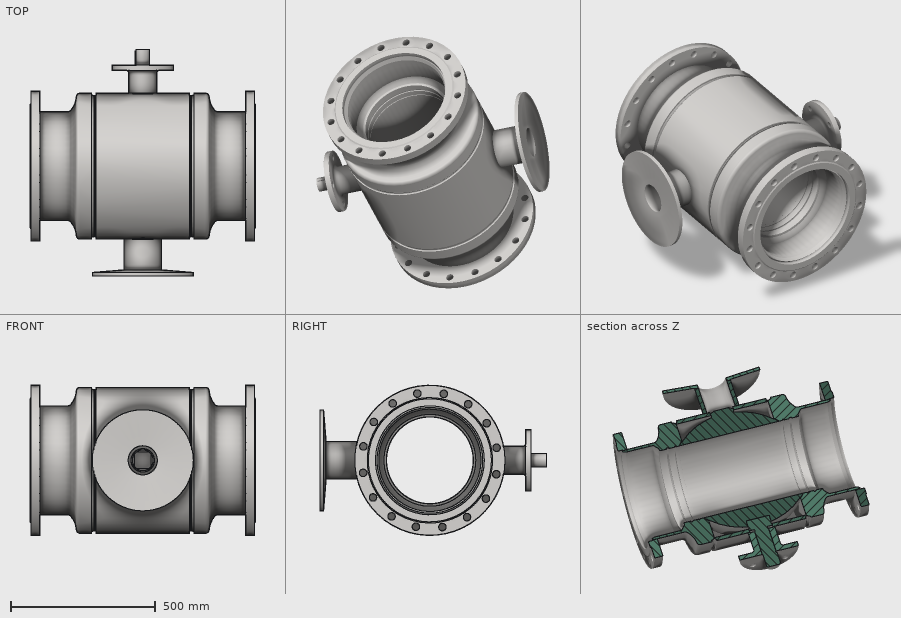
import cadquery as cq
import math

half_length = 390.0

flange_radius = 260.0
flange_thickness = 34.0
raised_face_height = 3.0
raised_face_radius = 213.0
raised_face_root_radius = 217.0
bolt_count = 16
bolt_circle_radius = 235.0
bolt_hole_radius = 13.0
bolt_turn = 0.6
bolt_start_angle = 180 / bolt_count - bolt_turn

pipe_radius = 188.5
pipe_bore_radius = 177.0
pipe_lip_radius = 183.0
pipe_lip_depth = 13.0
outer_bevel_length = 5.0
inner_bevel_length = 14.0
throat_start_x = 266.0
throat_end_x = 251.0
throat_radius = 159.0
bore_radius = 150.0
bore_grooves = ((225.0, 7.0), (196.0, 3.0))
bore_groove_depth = 4.0
pipe_bend_start_x = 260.0
pipe_bend_radius = 14.4
pipe_bend_angle = 50.0
flare_end_angle = 78.0
flare_end_x = 230.0
shoulder_radius = 14.4
cap_end_x = 177.0

groove_lip_radius = 246.5
groove_bottom_x = 169.0
groove_lip_end_radius = 244.5
groove_bottom_radius = 242.0
shell_half_length = 164.5
shell_lip_length = 3.0
shell_lip_radius = 245.0

shell_radius = 252.5
shell_bore_radius = 237.0
seat_edge_x = 179.0
ball_radius = math.hypot(bore_radius, seat_edge_x)

neck_radius = 49.0
neck_flange_radius = 106.5
neck_flange_front_y = 331.5
neck_flange_back_y = 350.0
neck_fillet = 9.0
neck_bolt_circle_radius = 82.5
neck_bolt_hole_radius = 11.0
neck_bolt_count = 4
neck_bolt_start_angle = 45.0

stem_radius = 24.0
stem_tip_y = 404.0
key_width = 8.8
key_top_x = 27.5
key_tip_gap = 5.0
key_root_gap = 3.0
stem_inner_y = 205.0
stem_collar_radius = 40.5
stem_collar_end_y = 246.0

foot_pipe_radius = 65.5
foot_bore_radius = 50.5
foot_plate_radius = 175.0
foot_plate_front_y = -380.58
foot_plate_thickness = 13.0
foot_plate_dish = 9.0

trunnion_radius = 40.5
trunnion_end_y = -246.0
tang_root_radius = 36.0
tang_root_end_y = -250.0
tang_width = 58.0
tang_end_y = -253.0


def rod(radius, y_start, y_end):
    """Cylinder on the Y axis."""
    return cq.Workplane("XZ", origin=(0, y_start, 0)).circle(radius).extrude(y_start - y_end)


def about_x(profile):
    """Close a half-section and turn it about the flow axis."""
    return profile.close().revolve(360, (0, 0, 0), (1, 0, 0))


def about_y(points):
    """Turn a straight-sided half-section about the stem axis."""
    return cq.Workplane("XY").polyline(points).close().revolve(360, (0, 0, 0), (0, 1, 0))


def make_flange():
    """Pipe flange with a raised face and a ring of bolt holes, at the -X end."""
    back = -half_length + flange_thickness
    step = -half_length + raised_face_height
    flange = about_x(
        cq.Workplane("XY")
        .moveTo(-half_length, pipe_radius)
        .lineTo(-half_length, raised_face_radius)
        .lineTo(step, raised_face_root_radius)
        .lineTo(step, flange_radius)
        .lineTo(back, flange_radius)
        .lineTo(back, pipe_radius)
    )
    holes = (
        cq.Workplane("YZ", origin=(-half_length, 0, 0))
        .polarArray(bolt_circle_radius, bolt_start_angle, 360, bolt_count)
        .circle(bolt_hole_radius)
        .extrude(flange_thickness)
    )
    return flange.cut(holes)


def make_cap():
    """Flared pipe end with a bevelled lip, a grooved bore and a spherical seat for the ball."""
    bend = math.radians(pipe_bend_angle)
    flare = math.radians(flare_end_angle)
    bend_end = (
        -pipe_bend_start_x + pipe_bend_radius * math.sin(bend),
        pipe_radius + pipe_bend_radius * (1 - math.cos(bend)),
    )
    flare_end = (-flare_end_x, shell_radius - shoulder_radius * (1 - math.cos(flare)))
    shoulder_end_x = -flare_end_x + shoulder_radius * math.sin(flare)
    seat_inner_angle = math.atan2(bore_radius, seat_edge_x)
    seat_outer_angle = math.acos(shell_half_length / ball_radius)
    seat_middle_angle = (seat_inner_angle + seat_outer_angle) / 2
    seat_middle = (-ball_radius * math.cos(seat_middle_angle), ball_radius * math.sin(seat_middle_angle))
    seat_outer_radius = ball_radius * math.sin(seat_outer_angle)
    lip_x = -half_length + pipe_lip_depth
    cap = about_x(
        cq.Workplane("XY")
        .moveTo(lip_x, pipe_lip_radius)
        .lineTo(lip_x + outer_bevel_length, pipe_radius)
        .lineTo(-pipe_bend_start_x, pipe_radius)
        .tangentArcPoint(bend_end, relative=False)
        .tangentArcPoint(flare_end, relative=False)
        .tangentArcPoint((shoulder_end_x, shell_radius), relative=False)
        .lineTo(-cap_end_x, shell_radius)
        .lineTo(-cap_end_x, groove_lip_radius)
        .lineTo(-groove_bottom_x, groove_lip_end_radius)
        .lineTo(-groove_bottom_x, groove_bottom_radius)
        .lineTo(-shell_half_length, groove_bottom_radius)
        .lineTo(-shell_half_length, seat_outer_radius)
        .threePointArc(seat_middle, (-seat_edge_x, bore_radius))
        .lineTo(-throat_end_x, bore_radius)
        .lineTo(-throat_end_x, throat_radius)
        .lineTo(-throat_start_x, pipe_bore_radius)
        .lineTo(lip_x + inner_bevel_length, pipe_bore_radius)
    )
    for groove_x, groove_width in bore_grooves:
        cap = cap.cut(
            cq.Workplane("YZ", origin=(-groove_x, 0, 0))
            .circle(bore_radius + bore_groove_depth)
            .extrude(groove_width)
        )
    return cap


def make_shell():
    """Tube between the caps, with a stepped lip at each end and holes for stem and trunnion."""
    full_half_length = shell_half_length - shell_lip_length
    tube = about_x(
        cq.Workplane("XY")
        .moveTo(-shell_half_length, shell_bore_radius)
        .lineTo(-shell_half_length, shell_lip_radius)
        .lineTo(-full_half_length, shell_lip_radius)
        .lineTo(-full_half_length, shell_radius)
        .lineTo(full_half_length, shell_radius)
        .lineTo(full_half_length, shell_lip_radius)
        .lineTo(shell_half_length, shell_lip_radius)
        .lineTo(shell_half_length, shell_bore_radius)
    )
    stem_hole = rod(stem_collar_radius, 0, stem_tip_y)
    trunnion_hole = rod(trunnion_radius, foot_plate_front_y, 0)
    return tube.cut(stem_hole).cut(trunnion_hole)


def make_ball():
    """Bored ball with a socket for the stem and a stepped trunnion opposite to it."""
    ball = cq.Workplane("XY").sphere(ball_radius)
    ball = ball.union(rod(trunnion_radius, trunnion_end_y, 0))
    ball = ball.union(rod(tang_root_radius, tang_root_end_y, 0))
    tang = rod(tang_root_radius, tang_end_y, tang_root_end_y).intersect(
        cq.Workplane("XZ").rect(tang_width, tang_width).extrude(-tang_end_y)
    )
    bore = cq.Workplane("YZ", origin=(-ball_radius, 0, 0)).circle(bore_radius).extrude(2 * ball_radius)
    stem_socket = rod(stem_collar_radius, stem_inner_y, stem_tip_y)
    return ball.union(tang).cut(bore).cut(stem_socket)


def make_neck():
    """Stem housing with a filleted mounting flange."""
    fillet_start_y = neck_flange_front_y - neck_fillet
    fillet_middle = neck_fillet * (1 - math.sqrt(0.5))
    neck = (
        cq.Workplane("XY")
        .moveTo(stem_radius, shell_radius)
        .lineTo(neck_radius, shell_radius)
        .lineTo(neck_radius, fillet_start_y)
        .threePointArc(
            (neck_radius + fillet_middle, neck_flange_front_y - fillet_middle),
            (neck_radius + neck_fillet, neck_flange_front_y),
        )
        .lineTo(neck_flange_radius, neck_flange_front_y)
        .lineTo(neck_flange_radius, neck_flange_back_y)
        .lineTo(stem_radius, neck_flange_back_y)
        .close()
        .revolve(360, (0, 0, 0), (0, 1, 0))
    )
    holes = (
        cq.Workplane("XZ", origin=(0, neck_flange_back_y, 0))
        .polarArray(neck_bolt_circle_radius, neck_bolt_start_angle, 360, neck_bolt_count)
        .circle(neck_bolt_hole_radius)
        .extrude(neck_flange_back_y - neck_flange_front_y)
    )
    return neck.cut(holes)


def make_stem():
    """Round stem with a wide collar in the shell and a key on its free end."""
    key_length = stem_tip_y - key_tip_gap - key_root_gap - neck_flange_back_y
    key = cq.Workplane("XY").box(key_top_x, key_length, key_width, centered=False)
    key = key.translate((-key_top_x, neck_flange_back_y + key_root_gap, -key_width / 2))
    collar = rod(stem_collar_radius, stem_inner_y, stem_collar_end_y)
    return rod(stem_radius, stem_inner_y, stem_tip_y).union(collar).union(key)


def plate_back_y(radius):
    """Y of the cone on the shell side of the foot plate."""
    slope = foot_plate_dish / (foot_plate_radius - foot_pipe_radius)
    return foot_plate_front_y + foot_plate_thickness + slope * (foot_plate_radius - radius)


def make_foot_pipe():
    """Tube from the shell to the foot plate."""
    return about_y([
        (foot_bore_radius, -shell_radius),
        (foot_pipe_radius, -shell_radius),
        (foot_pipe_radius, plate_back_y(foot_pipe_radius)),
        (foot_bore_radius, plate_back_y(foot_bore_radius)),
    ])


def make_foot_plate():
    """Round plate dished toward the shell."""
    return about_y([
        (foot_bore_radius, plate_back_y(foot_bore_radius)),
        (foot_plate_radius, plate_back_y(foot_plate_radius)),
        (foot_plate_radius, foot_plate_front_y),
        (foot_bore_radius, plate_back_y(foot_bore_radius) - foot_plate_thickness),
    ])


left_cap = make_cap()
right_cap = left_cap.mirror("YZ")
left_flange = make_flange()
right_flange = left_flange.mirror("YZ")
shell = make_shell()
ball = make_ball()
neck = make_neck()
stem = make_stem()
foot_pipe = make_foot_pipe()
foot_plate = make_foot_plate()

bodies = [
    left_cap, right_cap, left_flange, right_flange, shell, ball, neck, stem, foot_pipe, foot_plate,
]
result = cq.Compound.makeCompound([body.val() for body in bodies])